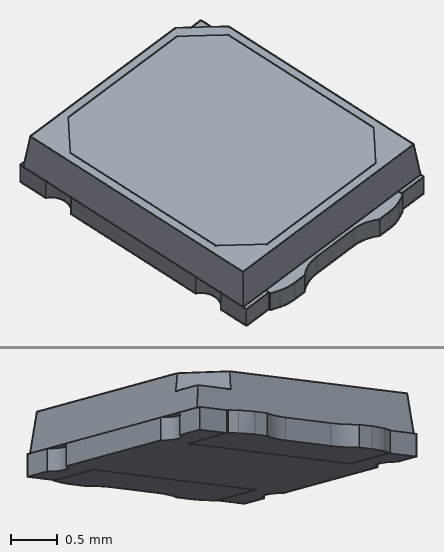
import cadquery as cq
import math

length = 3.5
width = 2.8
height = 0.7

base_length = 3.3
base_height = 0.25
housing_length = 3.205
wall_taper = 0.052
mark_leg = 0.402
mark_depth = 0.2

rim = 0.1
lens_chamfer = 0.39

scallop_outer = 1.275
scallop_inner = 0.91
scallop_depth = 0.1

lead_half_width = 1.045
lead_inner_end = scallop_inner
bump_radius = 0.5
bump_flat_outer = 0.755
bump_flat_inner = 0.59
shoulder_end = 0.945

housing_height = height - base_height
top_length = housing_length - 2 * wall_taper
top_width = width - 2 * wall_taper
tip_x = length / 2
base_x = base_length / 2


def make_lens():
    """Octagonal window filling, flush with the housing top and standing on the base."""
    return (
        cq.Workplane("XY", origin=(0, 0, base_height))
        .rect(top_length - 2 * rim, top_width - 2 * rim)
        .extrude(housing_height)
        .edges("|Z")
        .chamfer(lens_chamfer)
    )


def make_corner_mark():
    """Triangular cutter that notches the (-X, +Y) top corner at 45 degrees.

    Its slanted wall leans with the housing, so its ends keep the same X and Y at every height.
    """
    overhang = 2 * wall_taper
    reach = mark_leg + overhang
    lean_angle = math.degrees(math.atan(wall_taper / math.sqrt(2) / housing_height))
    corner_x = -top_length / 2
    corner_y = top_width / 2
    return (
        cq.Workplane("XY", origin=(0, 0, height))
        .moveTo(corner_x - overhang, corner_y - reach)
        .lineTo(corner_x + reach, corner_y + overhang)
        .lineTo(corner_x - overhang, corner_y + overhang)
        .close()
        .extrude(-mark_depth, taper=lean_angle)
    )


def make_housing(lens):
    """Tapered frame with a marked corner and an opening for the lens."""
    frame = (
        cq.Workplane("XY", origin=(0, 0, base_height))
        .rect(housing_length, width)
        .workplane(offset=housing_height)
        .rect(top_length, top_width)
        .loft(combine=True)
    )
    return frame.cut(make_corner_mark()).cut(lens)


def make_lead():
    """Lead on the +X side: a flat plate whose outer edge carries two rounded bumps."""
    shoulder_angle = math.asin((shoulder_end - bump_flat_outer) / bump_radius)
    shoulder_x = tip_x - bump_radius * (1 - math.cos(shoulder_angle))
    shoulder_mid_x = tip_x - bump_radius * (1 - math.cos(shoulder_angle / 2))
    shoulder_mid_y = bump_flat_outer + bump_radius * math.sin(shoulder_angle / 2)
    flank_x = shoulder_x - (lead_half_width - shoulder_end) * math.tan(shoulder_angle)
    root_angle = math.acos(1 - (tip_x - base_x) / bump_radius)
    root_y = bump_flat_inner - bump_radius * math.sin(root_angle)
    root_mid_x = base_x + bump_radius * (1 - math.cos(root_angle / 2))
    root_mid_y = root_y + bump_radius * math.sin(root_angle / 2)

    return (
        cq.Workplane("XY")
        .moveTo(lead_inner_end, -lead_half_width)
        .lineTo(flank_x, -lead_half_width)
        .lineTo(shoulder_x, -shoulder_end)
        .threePointArc((shoulder_mid_x, -shoulder_mid_y), (tip_x, -bump_flat_outer))
        .lineTo(tip_x, -bump_flat_inner)
        .threePointArc((root_mid_x, -root_mid_y), (base_x, -root_y))
        .lineTo(base_x, root_y)
        .threePointArc((root_mid_x, root_mid_y), (tip_x, bump_flat_inner))
        .lineTo(tip_x, bump_flat_outer)
        .threePointArc((shoulder_mid_x, shoulder_mid_y), (shoulder_x, shoulder_end))
        .lineTo(flank_x, lead_half_width)
        .lineTo(lead_inner_end, lead_half_width)
        .close()
        .extrude(base_height)
    )


def make_base(leads):
    """Plate under the housing, with scalloped long edges and a recess for each lead."""
    plate = cq.Workplane("XY").rect(base_length, width).extrude(base_height)

    half_chord = (scallop_outer - scallop_inner) / 2
    scallop_x = (scallop_outer + scallop_inner) / 2
    scallop_radius = (half_chord**2 + scallop_depth**2) / (2 * scallop_depth)
    scallop_y = width / 2 - scallop_depth + scallop_radius
    scallop_centres = [(sx * scallop_x, sy * scallop_y) for sx in (-1, 1) for sy in (-1, 1)]
    scallops = (
        cq.Workplane("XY")
        .pushPoints(scallop_centres)
        .circle(scallop_radius)
        .extrude(base_height)
    )

    base = plate.cut(scallops)
    for lead in leads:
        base = base.cut(lead)
    return base


lens = make_lens()
housing = make_housing(lens)
leads = [make_lead().rotate((0, 0, 0), (0, 0, 1), turn) for turn in (0, 180)]
base = make_base(leads)

result = cq.Compound.makeCompound([housing.val(), lens.val(), base.val(), *[lead.val() for lead in leads]])